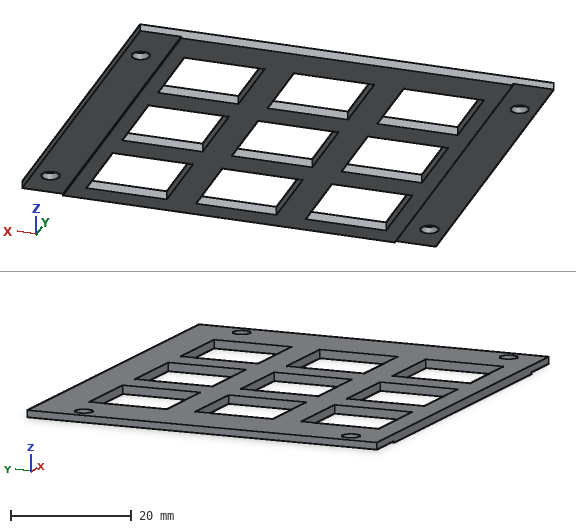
import cadquery as cq

plate_length = 72
plate_width = 63.0
total_thickness = 1.5

band_length = 57.75
band_depth = 0.3

pattern_center_y = -1.5
window_size = 14.0
window_pitch = 19.1
windows_per_side = 3
hole_diameter = 3.0
hole_spacing_x = 65.95
hole_spacing_y = 48.1


def slab(length, bottom, top):
    """Full-width plate between two heights."""
    return (
        cq.Workplane("XY")
        .workplane(offset=bottom)
        .rect(length, plate_width)
        .extrude(top - bottom)
    )


def pattern_plane():
    """Sketch plane at Z = 0, centred on the window grid."""
    return cq.Workplane("XY").center(0, pattern_center_y)


def windows():
    return (
        pattern_plane()
        .rarray(window_pitch, window_pitch, windows_per_side, windows_per_side)
        .rect(window_size, window_size)
        .extrude(total_thickness)
    )


def corner_holes():
    return (
        pattern_plane()
        .rarray(hole_spacing_x, hole_spacing_y, 2, 2)
        .circle(hole_diameter / 2)
        .extrude(total_thickness)
    )


plate = slab(plate_length, band_depth, total_thickness)
band = slab(band_length, 0, band_depth)
result = plate.union(band).cut(windows()).cut(corner_holes())